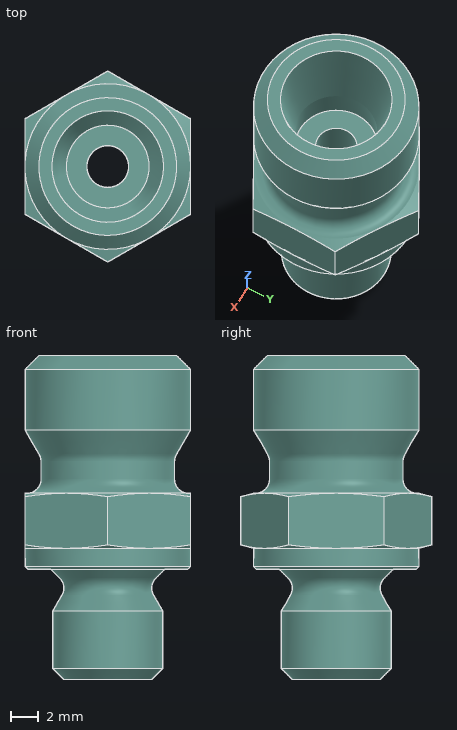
import cadquery as cq
import math

total_height = 23.5
across_flats = 12.0
hex_corner_radius = across_flats / math.sqrt(3)

spigot_radius = 8.0 / 2
spigot_chamfer = 0.8
spigot_top_z = 4.98
lower_neck_radius = 3.2

collar_radius = across_flats / 2
collar_bottom_z = 8.0
collar_chamfer = 0.2
hex_bottom_z = 9.52
hex_top_z = 13.51
hex_chamfer_angle = math.radians(15)

body_radius = across_flats / 2
body_chamfer = 1.0
upper_neck_radius = 9.7 / 2
upper_neck_straight_end_z = 15.82

undercut_radius = 1.0
thread_runout_angle = math.radians(30)
collar_runout_angle = math.radians(45)

mouth_radius = 4.05
mouth_half_angle = math.radians(12)
socket_radius = 6.0 / 2
socket_depth = 7.0
through_hole_diameter = 3.0


def undercut_point(neck_radius, center_z, angle):
    """Point on an undercut arc; a positive angle lies above the arc's center."""
    radius = neck_radius + undercut_radius * (1 - math.cos(angle))
    return radius, center_z + undercut_radius * math.sin(angle)


def make_turned_body():
    """Revolve the spigot, collar, necks and thread body about Z."""
    runout_start_radius, _ = undercut_point(lower_neck_radius, 0, thread_runout_angle)
    runout_height = (spigot_radius - runout_start_radius) / math.tan(thread_runout_angle)
    lower_center_z = spigot_top_z + runout_height + undercut_radius * math.sin(thread_runout_angle)
    lower_start = undercut_point(lower_neck_radius, lower_center_z, -thread_runout_angle)
    lower_end = undercut_point(lower_neck_radius, lower_center_z, collar_runout_angle)
    collar_cone_rise = collar_bottom_z - lower_end[1]
    collar_cone_radius = lower_end[0] + collar_cone_rise * math.tan(collar_runout_angle)

    fillet_mid = (
        upper_neck_radius + undercut_radius * (1 - math.sqrt(0.5)),
        hex_top_z + undercut_radius * (1 - math.sqrt(0.5)),
    )
    upper_mid = undercut_point(upper_neck_radius, upper_neck_straight_end_z, thread_runout_angle / 2)
    upper_end = undercut_point(upper_neck_radius, upper_neck_straight_end_z, thread_runout_angle)
    body_bottom_z = upper_end[1] + (body_radius - upper_end[0]) / math.tan(thread_runout_angle)

    return (
        cq.Workplane("XZ")
        .moveTo(0, 0)
        .lineTo(spigot_radius - spigot_chamfer, 0)
        .lineTo(spigot_radius, spigot_chamfer)
        .lineTo(spigot_radius, spigot_top_z)
        .lineTo(*lower_start)
        .threePointArc((lower_neck_radius, lower_center_z), lower_end)
        .lineTo(collar_cone_radius, collar_bottom_z)
        .lineTo(collar_radius - collar_chamfer, collar_bottom_z)
        .lineTo(collar_radius, collar_bottom_z + collar_chamfer)
        .lineTo(collar_radius, hex_bottom_z)
        .lineTo(upper_neck_radius + undercut_radius, hex_bottom_z)
        .lineTo(upper_neck_radius + undercut_radius, hex_top_z)
        .threePointArc(fillet_mid, (upper_neck_radius, hex_top_z + undercut_radius))
        .lineTo(upper_neck_radius, upper_neck_straight_end_z)
        .threePointArc(upper_mid, upper_end)
        .lineTo(body_radius, body_bottom_z)
        .lineTo(body_radius, total_height - body_chamfer)
        .lineTo(body_radius - body_chamfer, total_height)
        .lineTo(0, total_height)
        .close()
        .revolve(360, (0, 0, 0), (0, 1, 0))
    )


def make_hexagon():
    """Hexagon with flats facing X and corners trimmed by shallow cones."""
    prism = (
        cq.Workplane("XY")
        .workplane(offset=hex_bottom_z)
        .polygon(6, 2 * hex_corner_radius)
        .extrude(hex_top_z - hex_bottom_z)
        .rotate((0, 0, 0), (0, 0, 1), 30)
    )
    corner_drop = (hex_corner_radius - collar_radius) * math.tan(hex_chamfer_angle)
    trimming_cones = (
        cq.Workplane("XZ")
        .moveTo(0, hex_bottom_z)
        .lineTo(collar_radius, hex_bottom_z)
        .lineTo(hex_corner_radius, hex_bottom_z + corner_drop)
        .lineTo(hex_corner_radius, hex_top_z - corner_drop)
        .lineTo(collar_radius, hex_top_z)
        .lineTo(0, hex_top_z)
        .close()
        .revolve(360, (0, 0, 0), (0, 1, 0))
    )
    return prism.intersect(trimming_cones)


def make_bore():
    """Tapered mouth and flat-bottomed tube socket."""
    taper_depth = (mouth_radius - socket_radius) / math.tan(mouth_half_angle)
    return (
        cq.Workplane("XZ")
        .moveTo(0, total_height)
        .lineTo(mouth_radius, total_height)
        .lineTo(socket_radius, total_height - taper_depth)
        .lineTo(socket_radius, total_height - socket_depth)
        .lineTo(0, total_height - socket_depth)
        .close()
        .revolve(360, (0, 0, 0), (0, 1, 0))
    )


through_hole = cq.Workplane("XY").circle(through_hole_diameter / 2).extrude(total_height)
result = make_turned_body().union(make_hexagon()).cut(make_bore()).cut(through_hole)